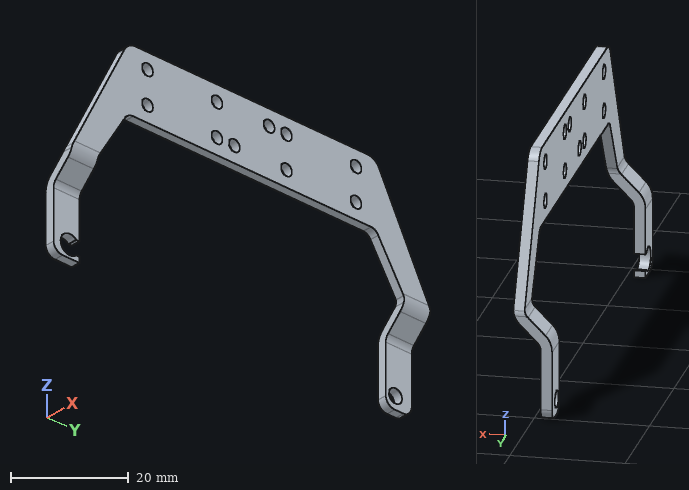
import cadquery as cq
import math

thickness = 2.0
overall_depth = 6.8
overall_width = 82.5
overall_height = 44.0

leg_width = 6.0
plate_height = 14.0
plate_half_width = 28.5
knee_height = 19.0
plate_corner_radius = 3.0
inner_corner_radius = 2.0
knee_radius = 2.0
foot_corner_radius = 2.0

bend_angle = math.radians(45)
bend_inner_radius = 2.0
leg_flat_length = 12.5

plate_hole_diameter = 2.5
top_margin = 3.5
row_spacing = 7.0
upper_row_height = overall_height - top_margin
lower_row_height = upper_row_height - row_spacing
common_hole_positions = [-24.0, -8.0, 8.0, 24.0]
extra_hole_offset = 4.0

pivot_offset = 37.5
pivot_height = 2.75
pivot_hole_diameter = 3.0
socket_diameter = 4.2
socket_mouth_width = 3.0

half_width = overall_width / 2
leg_inner = half_width - leg_width
plate_bottom = overall_height - plate_height


def round_corner(body, y, z, radius):
    """Round the X-parallel edge that passes through the point (y, z)."""
    margin = 0.1
    corner = cq.selectors.BoxSelector(
        (-margin, y - margin, z - margin),
        (overall_depth + margin, y + margin, z + margin),
    )
    return body.edges("|X").edges(corner).fillet(radius)


def make_outline_block():
    """Plate and legs in outline, as deep as the whole part."""
    left_half = [
        (half_width, 0),
        (half_width, knee_height),
        (plate_half_width, overall_height),
    ]
    left_inner = [
        (plate_half_width, plate_bottom),
        (leg_inner, knee_height),
        (leg_inner, 0),
    ]
    right_half = [(-y, z) for y, z in reversed(left_half)]
    right_inner = [(-y, z) for y, z in reversed(left_inner)]
    points = left_half + right_half + right_inner + left_inner
    body = cq.Workplane("YZ").polyline(points).close().extrude(overall_depth)

    for side in (-1, 1):
        body = round_corner(body, side * plate_half_width, overall_height, plate_corner_radius)
        body = round_corner(body, side * plate_half_width, plate_bottom, inner_corner_radius)
        body = round_corner(body, side * half_width, knee_height, knee_radius)
        body = round_corner(body, side * leg_inner, knee_height, knee_radius)
        body = round_corner(body, side * half_width, 0, foot_corner_radius)
    return round_corner(body, leg_inner, 0, foot_corner_radius)


def make_joggled_sheet():
    """Sheet with two opposite bends, wide enough to hold the outline."""
    mean_radius = bend_inner_radius + thickness / 2
    offset = overall_depth - thickness
    bend_shift_x = mean_radius * (1 - math.cos(bend_angle))
    bend_shift_z = mean_radius * math.sin(bend_angle)
    ramp_length = (offset - 2 * bend_shift_x) / math.sin(bend_angle)

    path = (
        cq.Workplane("XZ")
        .moveTo(thickness / 2, 0)
        .lineTo(thickness / 2, leg_flat_length)
        .tangentArcPoint((bend_shift_x, bend_shift_z))
        .polarLine(ramp_length, 90 - math.degrees(bend_angle))
        .tangentArcPoint((bend_shift_x, bend_shift_z))
        .lineTo(overall_depth - thickness / 2, overall_height)
    )
    section = cq.Workplane("XY").center(thickness / 2, 0).rect(thickness, overall_width)
    return section.sweep(path)


def drill(body, points, diameter):
    """Drill holes along X at the given (y, z) points."""
    drills = cq.Workplane("YZ").pushPoints(points).circle(diameter / 2).extrude(overall_depth)
    return body.cut(drills)


def drill_plate_holes(body):
    points = [(extra_hole_offset, upper_row_height), (-extra_hole_offset, lower_row_height)]
    for height in (upper_row_height, lower_row_height):
        points += [(y, height) for y in common_hole_positions]
    return drill(body, points, plate_hole_diameter)


def cut_snap_socket(body):
    """Round socket with a narrower mouth through the inner edge of the leg."""
    body = drill(body, [(-pivot_offset, pivot_height)], socket_diameter)
    mouth_length = pivot_offset - leg_inner
    mouth = (
        cq.Workplane("YZ")
        .center(-pivot_offset + mouth_length / 2, pivot_height)
        .rect(mouth_length, socket_mouth_width)
        .extrude(overall_depth)
    )
    return body.cut(mouth)


bracket = make_joggled_sheet().intersect(make_outline_block())
bracket = drill_plate_holes(bracket)
bracket = drill(bracket, [(pivot_offset, pivot_height)], pivot_hole_diameter)
result = cut_snap_socket(bracket)